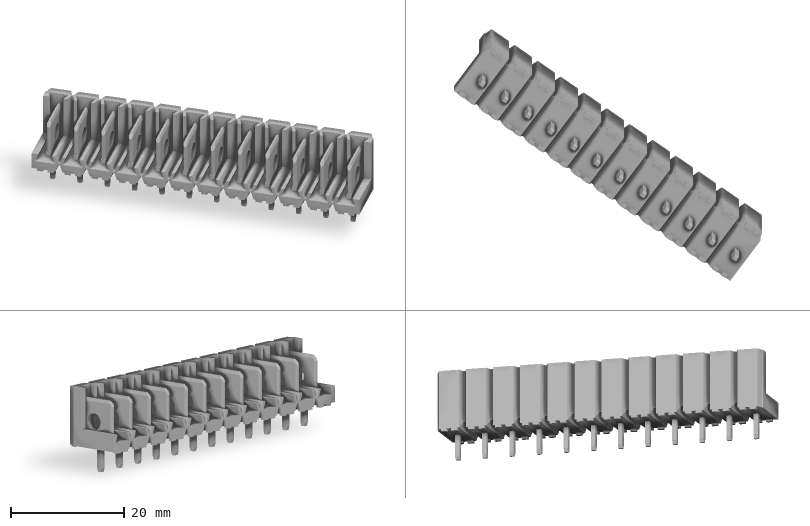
import cadquery as cq

cell_count = 12
length = 60
pitch = length / cell_count
half_length = length / 2
cell_centres = [(i + 0.5) * pitch - half_length for i in range(cell_count)]
inner_boundaries = [i * pitch - half_length for i in range(1, cell_count)]
end_boundaries = [-half_length, half_length]

depth = 10.5
height = 15
base_bottom = 4.5
wall_thickness = 3
base_thickness = 3
rim_top = base_bottom + base_thickness

wall_floor = 1.5
base_floor = 1.5
floor_y = -wall_floor
floor_z = base_bottom + base_floor
trough_floor_width = 3.6
trough_mouth_width = 2.5

web_thickness = 0.35
groove_root_width = 0.35
groove_mouth_width = 1.25
outer_wall_groove = wall_floor - web_thickness / 2
outer_base_groove = base_floor - web_thickness / 2
inner_wall_groove = wall_thickness - wall_floor - web_thickness / 2
inner_base_groove = base_thickness - base_floor - web_thickness / 2

foot_height = 0.4
foot_length = 0.8
feet_width = 3
feet_gap = 0.85

metal_thickness = 0.8
tab_front = -8.45
tab_top = 13.0
tab_corner_run = 0.85
tab_corner_drop = 1.0
tab_edge_thickness = 0.35
top_bevel = 0.55
front_bevel = 0.35
front_bevel_bottom = floor_z + 1.0
tab_slot_depth = 0.3
hole_diameter = 3
hole_y = -4.25
hole_z = 8.9
pin_y = -5.5
pin_width = 1.1
pin_tip_width = 0.65
pin_taper = 0.7


def box(x_range, y_range, z_range):
    """Axis-aligned box between pairs of limits."""
    size = [high - low for low, high in (x_range, y_range, z_range)]
    corner = (x_range[0], y_range[0], z_range[0])
    return cq.Workplane("XY").box(*size, centered=False).translate(corner)


def trapezoid_along_z(x, y_start, width_start, y_end, width_end, z_low, z_high):
    """Vertical bar with a trapezoid section, symmetric about x."""
    points = [
        (x - width_start / 2, y_start),
        (x + width_start / 2, y_start),
        (x + width_end / 2, y_end),
        (x - width_end / 2, y_end),
    ]
    return cq.Workplane("XY").workplane(offset=z_low).polyline(points).close().extrude(z_high - z_low)


def trapezoid_along_y(x, z_start, width_start, z_end, width_end, y_back):
    """Bar with a trapezoid section running from y_back to the front of the base."""
    points = [
        (x - width_start / 2, z_start),
        (x + width_start / 2, z_start),
        (x + width_end / 2, z_end),
        (x - width_end / 2, z_end),
    ]
    return cq.Workplane("XZ", origin=(0, y_back, 0)).polyline(points).close().extrude(depth + y_back)


def back_groove(x):
    """V groove down the back of the wall."""
    return trapezoid_along_z(
        x, 0, groove_mouth_width, -outer_wall_groove, groove_root_width, base_bottom, height
    )


def bottom_groove(x):
    """V groove along the underside of the base."""
    top = base_bottom + outer_base_groove
    return trapezoid_along_y(x, base_bottom, groove_mouth_width, top, groove_root_width, 0)


def inner_groove(x):
    """L-shaped groove between the rims of two cells, mitred in the corner."""
    root_y = inner_wall_groove - wall_thickness
    root_z = rim_top - inner_base_groove
    half_mouth = groove_mouth_width / 2
    half_root = groove_root_width / 2
    beside_wall = (
        cq.Workplane("XY")
        .workplane(offset=root_z)
        .moveTo(x - half_root, root_y)
        .lineTo(x + half_root, root_y)
        .lineTo(x + half_mouth, -wall_thickness)
        .lineTo(x + half_mouth, -depth)
        .lineTo(x - half_mouth, -depth)
        .lineTo(x - half_mouth, -wall_thickness)
        .close()
        .extrude(height - root_z)
    )
    above_base = (
        cq.Workplane("XZ", origin=(0, root_y, 0))
        .moveTo(x - half_root, root_z)
        .lineTo(x + half_root, root_z)
        .lineTo(x + half_mouth, rim_top)
        .lineTo(x + half_mouth, height)
        .lineTo(x - half_mouth, height)
        .lineTo(x - half_mouth, rim_top)
        .close()
        .extrude(depth + root_y)
    )
    return beside_wall.intersect(above_base)


def trough(x):
    """Dovetail channel that follows the wall and the base of one cell."""
    in_wall = trapezoid_along_z(
        x, floor_y, trough_floor_width, -wall_thickness, trough_mouth_width, floor_z, height
    )
    in_base = trapezoid_along_y(x, floor_z, trough_floor_width, rim_top, trough_mouth_width, floor_y)
    return in_wall.union(in_base)


def tab_slot(x):
    """Rectangular slot in the wall that receives the back of the tab."""
    half = metal_thickness / 2
    return box((x - half, x + half), (floor_y, floor_y + tab_slot_depth), (floor_z, tab_top))


def feet(x):
    """Two pairs of feet, one pair along each long edge."""
    z_range = (base_bottom - foot_height, base_bottom)
    half_width = feet_width / 2
    half_gap = feet_gap / 2
    group = cq.Workplane("XY")
    for y_range in ((-foot_length, 0), (-depth, foot_length - depth)):
        group = group.union(box((x - half_width, x - half_gap), y_range, z_range))
        group = group.union(box((x + half_gap, x + half_width), y_range, z_range))
    return group


def tab(x):
    """Upright tab with bevelled top and front edges and a cross hole."""
    tab_back = floor_y + tab_slot_depth
    outline = [
        (tab_back, floor_z),
        (tab_front, floor_z),
        (tab_front, tab_top - tab_corner_drop),
        (tab_front + tab_corner_run, tab_top),
        (tab_back, tab_top),
    ]
    half = metal_thickness / 2
    blade = cq.Workplane("YZ", origin=(x - half, 0, 0)).polyline(outline).close().extrude(metal_thickness)
    half_edge = tab_edge_thickness / 2
    for side in (-1, 1):
        top_cut = [
            (x + side * half_edge, tab_top),
            (x + side * half, tab_top),
            (x + side * half, tab_top - top_bevel),
        ]
        front_cut = [
            (x + side * half_edge, tab_front),
            (x + side * half, tab_front),
            (x + side * half, tab_front + front_bevel),
        ]
        blade = blade.cut(cq.Workplane("XZ").polyline(top_cut).close().extrude(depth))
        front_plane = cq.Workplane("XY").workplane(offset=front_bevel_bottom)
        blade = blade.cut(front_plane.polyline(front_cut).close().extrude(tab_top - front_bevel_bottom))
    hole_plane = cq.Workplane("YZ", origin=(x - half, hole_y, hole_z))
    return blade.cut(hole_plane.circle(hole_diameter / 2).extrude(metal_thickness))


def pin(x):
    """Flat solder pin, narrowing in Y towards its tip."""
    outline = [
        (pin_y - pin_tip_width / 2, 0),
        (pin_y + pin_tip_width / 2, 0),
        (pin_y + pin_width / 2, pin_taper),
        (pin_y + pin_width / 2, base_bottom),
        (pin_y - pin_width / 2, base_bottom),
        (pin_y - pin_width / 2, pin_taper),
    ]
    plane = cq.Workplane("YZ", origin=(x - metal_thickness / 2, 0, 0))
    return plane.polyline(outline).close().extrude(metal_thickness)


full_length = (-half_length, half_length)
body = box(full_length, (-wall_thickness, 0), (base_bottom, height))
body = body.union(box(full_length, (-depth, 0), (base_bottom, rim_top)))

for boundary in inner_boundaries:
    body = body.cut(back_groove(boundary)).cut(bottom_groove(boundary)).cut(inner_groove(boundary))
for boundary in end_boundaries:
    body = body.cut(back_groove(boundary))

for centre in cell_centres:
    body = body.cut(trough(centre)).cut(tab_slot(centre))
    body = body.union(feet(centre)).union(tab(centre)).union(pin(centre))

result = body